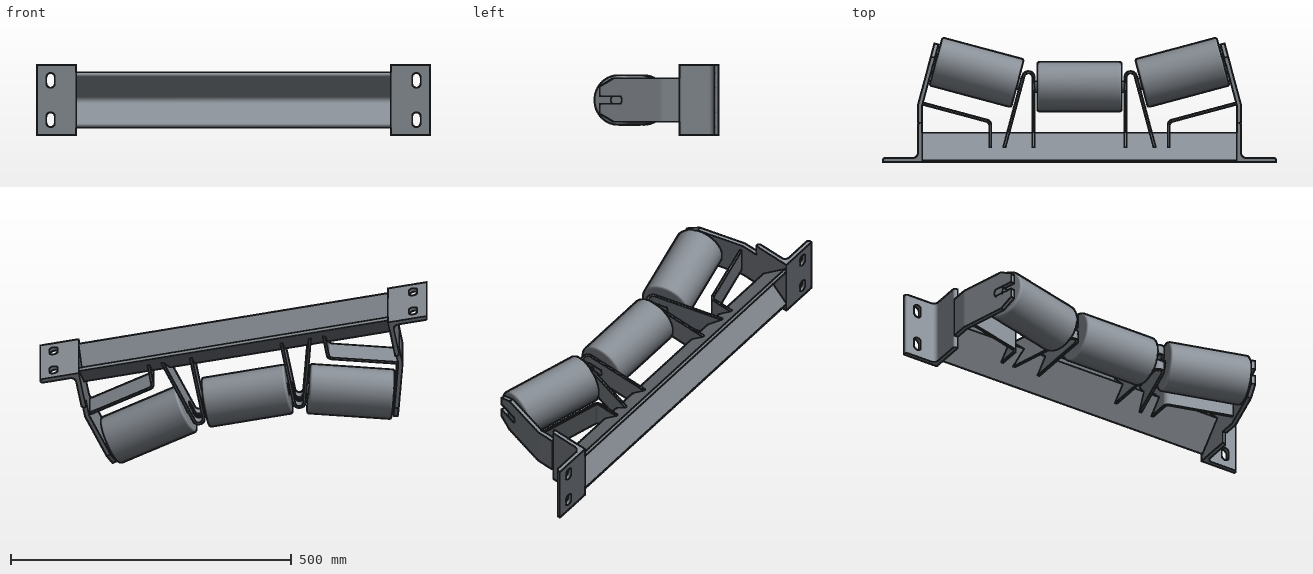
import cadquery as cq
import math

OVERALL_LENGTH = 700.0
BRACKET_WIDTH = 125.0
TILT = 15.0

ANGLE_LEG = 70.0
ANGLE_ROOT_RADIUS = 9.0
ANGLE_TOE_RADIUS = 4.0
FOOT_THICKNESS = 8.0
BEAM_THICKNESS = 7.0
FOOT_HEEL_X = -(OVERALL_LENGTH / 2 - ANGLE_LEG)
BEAM_LENGTH = -2 * FOOT_HEEL_X
BEAM_APEX_Y = (ANGLE_LEG + BEAM_THICKNESS - ANGLE_TOE_RADIUS * (2 - math.sqrt(2))) / math.sqrt(2)

MOUNT_SLOT_WIDTH = 15.0
MOUNT_SLOT_LENGTH = 26.0
MOUNT_SLOT_SPACING = 70.0
MOUNT_SLOT_EDGE = 24.5

ROLLER_DIAMETER = 89.0
ROLLER_LENGTH = 150.5
ROLLER_FILLET = 4.0
SHAFT_DIAMETER = 20.0
SHAFT_FLATS = 14.0
SHOULDER = 80.0
MIDDLE_ROLLER_Y = 134.5

STRIP_THICKNESS = 4.0
STRIP_WIDTH = 52.0
ARCH_RADIUS = 11.0
ARCH_X = -(SHOULDER + ARCH_RADIUS)
ARCH_Y = 151.0
BRACE_RADIUS = 10.5
BRACE_X = -157.0
BRACE_BEND_Y = 66.0
BRACE_SLOPED_LENGTH = 122.0

UPRIGHT_WIDTH = 78.0
UPRIGHT_RADIUS = 18.0
UPRIGHT_BEND_Y = 99.5
UPRIGHT_TIP_LENGTH = 111.0
TIP_CORNER_LENGTH = 24.5
TIP_CORNER_WIDTH = 14.0


def polar(angle, radius=1.0):
    """Vector in the XY plane at an angle in degrees from +X."""
    return cq.Vector(radius * math.cos(math.radians(angle)), radius * math.sin(math.radians(angle)))


AXIS_ANGLE = 180 - TILT
TIP_ANGLE = 90 - TILT
AXIS_DROP = 15.5
SIDE_ROLLER_CENTRE = (
    cq.Vector(ARCH_X, ARCH_Y) + polar(AXIS_ANGLE, ARCH_RADIUS + SHOULDER) - polar(TIP_ANGLE, AXIS_DROP)
)
MIDDLE_ROLLER_CENTRE = cq.Vector(0, MIDDLE_ROLLER_Y)
UPRIGHT_BEND_CENTRE = cq.Vector(FOOT_HEEL_X - FOOT_THICKNESS + UPRIGHT_RADIUS, UPRIGHT_BEND_Y)
OUTER_SHOULDER = (
    (UPRIGHT_BEND_CENTRE - SIDE_ROLLER_CENTRE).dot(polar(AXIS_ANGLE)) + UPRIGHT_RADIUS - FOOT_THICKNESS
)


def mirrored(body):
    """The opposite-hand copy on the +X side."""
    return body.mirror("YZ")


def angle_section(thickness, length):
    """Rolled angle with its heel at the origin, legs along +X and +Y, centred on Z."""
    leg, toe, root = ANGLE_LEG, ANGLE_TOE_RADIUS, ANGLE_ROOT_RADIUS
    return (
        cq.Workplane("XY")
        .lineTo(leg, 0)
        .lineTo(leg, thickness - toe)
        .radiusArc((leg - toe, thickness), -toe)
        .lineTo(thickness + root, thickness)
        .radiusArc((thickness, thickness + root), root)
        .lineTo(thickness, leg - toe)
        .radiusArc((thickness - toe, leg), -toe)
        .lineTo(0, leg)
        .close()
        .extrude(length / 2, both=True)
    )


def bent_strip(centre, outer_radius, thickness, width, first, second):
    """Flat strip with one bend; each leg is (outward normal angle, length)."""
    first_angle, first_length = first
    second_angle, second_length = second
    middle_angle = (first_angle + second_angle) / 2
    inner_radius = outer_radius - thickness
    first_leg = polar(first_angle - 90, first_length)
    second_leg = polar(second_angle + 90, second_length)

    def on_bend(angle, radius):
        return centre + polar(angle, radius)

    def leg_end(angle, radius, leg):
        end = on_bend(angle, radius) + leg
        return (end.x, end.y)

    return (
        cq.Workplane("XY")
        .moveTo(*leg_end(first_angle, outer_radius, first_leg))
        .lineTo(on_bend(first_angle, outer_radius).x, on_bend(first_angle, outer_radius).y)
        .threePointArc(on_bend(middle_angle, outer_radius), on_bend(second_angle, outer_radius))
        .lineTo(*leg_end(second_angle, outer_radius, second_leg))
        .lineTo(*leg_end(second_angle, inner_radius, second_leg))
        .lineTo(on_bend(second_angle, inner_radius).x, on_bend(second_angle, inner_radius).y)
        .threePointArc(on_bend(middle_angle, inner_radius), on_bend(first_angle, inner_radius))
        .lineTo(*leg_end(first_angle, inner_radius, first_leg))
        .close()
        .extrude(width / 2, both=True)
    )


def at_side_roller(body):
    """Move a body from the origin, with its axis along X, onto the left side roller axis."""
    return body.rotate((0, 0, 0), (0, 0, 1), -TILT).translate(SIDE_ROLLER_CENTRE)


def at_middle_roller(body):
    return body.translate(MIDDLE_ROLLER_CENTRE)


def roller_shell():
    return (
        cq.Workplane("YZ", origin=(-ROLLER_LENGTH / 2, 0, 0))
        .circle(ROLLER_DIAMETER / 2)
        .extrude(ROLLER_LENGTH)
        .edges()
        .fillet(ROLLER_FILLET)
        .faces("<X")
        .workplane()
        .hole(SHAFT_DIAMETER)
    )


def shaft(left_shoulder, left_seat, right_shoulder, right_seat):
    """Round bar with two flats at each end, where it sits in its supports."""
    start = -left_shoulder - left_seat
    length = left_shoulder + right_shoulder + left_seat + right_seat
    bar = cq.Workplane("YZ", origin=(start, 0, 0)).circle(SHAFT_DIAMETER / 2).extrude(length)
    flatted = bar.intersect(cq.Workplane("XY").box(2 * length, SHAFT_DIAMETER, SHAFT_FLATS))
    round_part = (
        cq.Workplane("YZ", origin=(-left_shoulder, 0, 0))
        .circle(SHAFT_DIAMETER / 2)
        .extrude(left_shoulder + right_shoulder)
    )
    return flatted.union(round_part)


def open_slot(face_x, depth):
    """Slot from the shaft axis out past the tip of a support, from face_x over a depth along X."""
    cutter = cq.Workplane("XY").box(
        depth, UPRIGHT_TIP_LENGTH, SHAFT_FLATS, centered=(False, False, True)
    )
    return cutter.translate((face_x, 0, 0))


def foot():
    mounting_slots = (
        cq.Workplane("XZ", origin=(-OVERALL_LENGTH / 2 + MOUNT_SLOT_EDGE, 0, 0))
        .rarray(7, MOUNT_SLOT_SPACING, 1, 2)
        .slot2D(MOUNT_SLOT_LENGTH, MOUNT_SLOT_WIDTH, 90)
        .extrude(-FOOT_THICKNESS)
    )
    angle = angle_section(FOOT_THICKNESS, BRACKET_WIDTH).mirror("YZ").translate((FOOT_HEEL_X, 0, 0))
    return angle.cut(mounting_slots)


def upright():
    plate = bent_strip(
        UPRIGHT_BEND_CENTRE,
        UPRIGHT_RADIUS,
        FOOT_THICKNESS,
        UPRIGHT_WIDTH,
        (AXIS_ANGLE, UPRIGHT_TIP_LENGTH),
        (180, UPRIGHT_BEND_Y - ANGLE_LEG),
    )
    tip = UPRIGHT_BEND_CENTRE + polar(AXIS_ANGLE, UPRIGHT_RADIUS) + polar(TIP_ANGLE, UPRIGHT_TIP_LENGTH)
    face = cq.Plane(origin=tip, xDir=polar(TIP_ANGLE), normal=polar(AXIS_ANGLE))
    for side in (-1, 1):
        edge = side * UPRIGHT_WIDTH / 2
        corner = [(0, edge), (-TIP_CORNER_LENGTH, edge), (0, edge - side * TIP_CORNER_WIDTH)]
        plate = plate.cut(cq.Workplane(face).polyline(corner).close().extrude(-FOOT_THICKNESS))
    slot = open_slot(-OUTER_SHOULDER - FOOT_THICKNESS, FOOT_THICKNESS)
    return plate.cut(at_side_roller(slot)).cut(side_shaft)


def beam():
    return (
        angle_section(BEAM_THICKNESS, BEAM_LENGTH)
        .rotate((0, 0, 0), (0, 0, 1), 225)
        .rotate((0, 0, 0), (0, 1, 0), 90)
        .translate((0, BEAM_APEX_Y, 0))
    )


def beam_envelope():
    """Solid wedge under the outer faces of the beam, which trims the strip feet to its slope."""
    return (
        cq.Workplane("YZ")
        .polyline([(BEAM_APEX_Y, 0), (-BEAM_APEX_Y, 2 * BEAM_APEX_Y), (-BEAM_APEX_Y, -2 * BEAM_APEX_Y)])
        .close()
        .extrude(BEAM_LENGTH / 2, both=True)
    )


def arch():
    """Bent strip carrying the inner end of a side shaft and one end of the middle shaft."""
    strip = bent_strip(
        cq.Vector(ARCH_X, ARCH_Y),
        ARCH_RADIUS,
        STRIP_THICKNESS,
        STRIP_WIDTH,
        (0, ARCH_Y),
        (AXIS_ANGLE, ARCH_Y),
    )
    side_slot = at_side_roller(open_slot(SHOULDER, ARCH_RADIUS))
    middle_slot = at_middle_roller(open_slot(-SHOULDER - ARCH_RADIUS, ARCH_RADIUS))
    strip = strip.cut(side_slot).cut(middle_slot).cut(side_shaft).cut(middle_shaft)
    return strip.cut(beam_envelope())


def brace():
    """Bent strip running from the beam up to the bend of the upright."""
    strip = bent_strip(
        cq.Vector(BRACE_X - BRACE_RADIUS, BRACE_BEND_Y),
        BRACE_RADIUS,
        STRIP_THICKNESS,
        STRIP_WIDTH,
        (0, BRACE_BEND_Y),
        (TIP_ANGLE, BRACE_SLOPED_LENGTH),
    )
    return strip.cut(end_bracket).cut(beam_envelope())


side_shaft = at_side_roller(shaft(OUTER_SHOULDER, FOOT_THICKNESS, SHOULDER, STRIP_THICKNESS))
middle_shaft = at_middle_roller(shaft(SHOULDER, STRIP_THICKNESS, SHOULDER, STRIP_THICKNESS))
shafts = [side_shaft, middle_shaft, mirrored(side_shaft)]

side_roller = at_side_roller(roller_shell())
rollers = [side_roller, at_middle_roller(roller_shell()), mirrored(side_roller)]

end_bracket = foot().union(upright())
end_brackets = [end_bracket, mirrored(end_bracket)]

frame = beam()
for strip in (arch(), brace()):
    frame = frame.union(strip).union(mirrored(strip))

bodies = [frame, *end_brackets, *rollers, *shafts]
result = cq.Compound.makeCompound([solid for body in bodies for solid in body.solids().vals()])